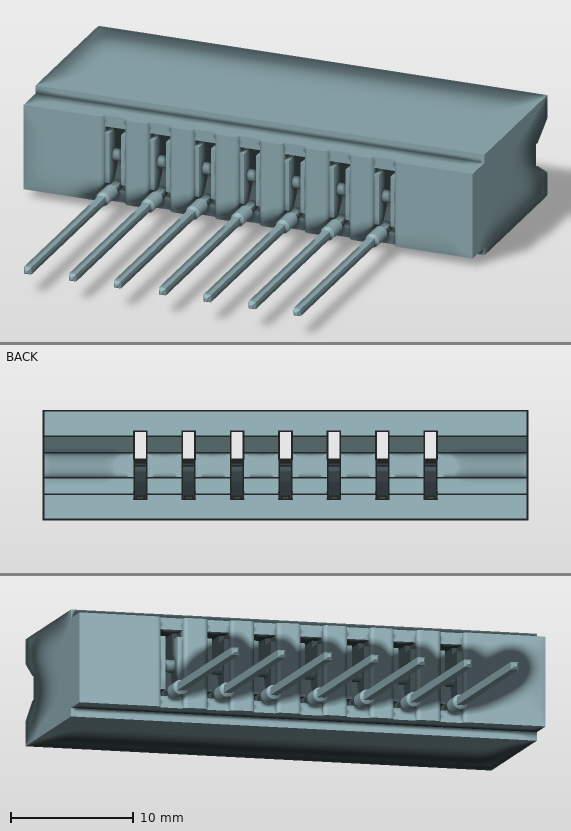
import cadquery as cq
import math


LENGTH = 39.57
HEIGHT = 8.9
DEPTH = 16.35
STEP_LENGTH = 2.6
STEP_DROP = 0.7

NOTCH_DEPTH = 2.45
NOTCH_LEAD = 2.1
NOTCH_MOUTH = 4.75
NOTCH_FLOOR = 2.05

CONTACTS = 7
PITCH = 3.95
RECESS_DEPTH = 0.4
RECESS_WIDTH = 1.85
RECESS_ROUND = 0.4
WINDOW_WIDTH = 1.03
WINDOW_HEIGHT = 5.55
POCKET_HEIGHT = 0.55
POCKET_DEPTH = 1.6

TOTAL_DEPTH = 35.45
WIRE = 0.65
TIP_LENGTH = 0.35
TIP_INSET = 0.2
BARREL_DIAMETER = 1.2
BARREL_START = 0.28
BARREL_LENGTH = 2.25
BARREL_CHAMFER = 0.25
SPRING_WIDTH = WINDOW_WIDTH
SPRING_THICKNESS = 0.2
SPRING_START = 1.45
FOOT_RISE = 1.0
FOOT_ANGLE = math.radians(55)
SLOPE_RISE = 0.7
SLOPE_ANGLE = math.radians(70)
BEND_RADIUS = 0.2
LEG_LENGTH = 0.45
LEG_TILT = math.radians(30)
ROLL_RADIUS = 0.5
ROLL_PAST_TOP = math.radians(45)

WINDOW_BOTTOM = -WINDOW_HEIGHT / 2
NECK_TOP = WINDOW_BOTTOM + POCKET_HEIGHT
WIRE_Z = WINDOW_BOTTOM + POCKET_HEIGHT / 2
CONTACT_XS = [(i - (CONTACTS - 1) / 2) * PITCH for i in range(CONTACTS)]


def make_housing_block():
    """Stepped block with the card notch, as one profile along X."""
    top = HEIGHT / 2
    step_top = top - STEP_DROP
    upper = [
        (0, step_top),
        (STEP_LENGTH, step_top),
        (STEP_LENGTH, top),
        (DEPTH, top),
        (DEPTH, NOTCH_MOUTH / 2),
        (DEPTH - NOTCH_LEAD, NOTCH_FLOOR / 2),
        (DEPTH - NOTCH_DEPTH, NOTCH_FLOOR / 2),
    ]
    lower = [(y, -z) for y, z in reversed(upper)]
    return cq.Workplane("YZ").polyline(upper + lower).close().extrude(LENGTH / 2, both=True)


def make_recess():
    """Vertical groove whose side walls round outward into the rear face."""
    half = RECESS_WIDTH / 2
    mouth = half + RECESS_ROUND
    mid = RECESS_ROUND * (1 - math.sqrt(0.5))
    return (
        cq.Workplane("XY")
        .moveTo(-mouth, 0)
        .threePointArc((-half - mid, mid), (-half, RECESS_DEPTH))
        .lineTo(half, RECESS_DEPTH)
        .threePointArc((half + mid, mid), (mouth, 0))
        .close()
        .extrude(HEIGHT / 2, both=True)
    )


def make_cavity():
    """Groove, through window and the two wide pockets for one contact."""
    window = cq.Workplane("XY").box(WINDOW_WIDTH, DEPTH, WINDOW_HEIGHT, centered=(True, False, True))
    cavity = make_recess().union(window)
    pocket_z = (WINDOW_HEIGHT - POCKET_HEIGHT) / 2
    for z in (pocket_z, -pocket_z):
        pocket = (
            cq.Workplane("XY")
            .box(RECESS_WIDTH, RECESS_DEPTH + POCKET_DEPTH, POCKET_HEIGHT, centered=(True, False, True))
            .translate((0, 0, z))
        )
        cavity = cavity.union(pocket)
    return cavity


def make_housing():
    housing = make_housing_block()
    cavity = make_cavity()
    for x in CONTACT_XS:
        housing = housing.cut(cavity.translate((x, 0, 0)))
    return housing


def polar(center, radius, angle):
    """Point in the YZ plane at a distance and angle from a centre."""
    return (center[0] + radius * math.cos(angle), center[1] + radius * math.sin(angle))


def make_spring():
    """S-shaped strip: slope up from the neck, bend back, then roll back over."""
    bend_outer = BEND_RADIUS + SPRING_THICKNESS
    roll_inner = ROLL_RADIUS - SPRING_THICKNESS

    foot = (SPRING_START, NECK_TOP)
    kink = (foot[0] + FOOT_RISE / math.tan(FOOT_ANGLE), foot[1] + FOOT_RISE)
    slope_end = (kink[0] + SLOPE_RISE / math.tan(SLOPE_ANGLE), kink[1] + SLOPE_RISE)

    bend_start = SLOPE_ANGLE - math.pi / 2
    bend_end = math.pi / 2 + LEG_TILT
    bend_mid = (bend_start + bend_end) / 2
    bend_center = polar(slope_end, BEND_RADIUS, bend_start + math.pi)

    roll_start = LEG_TILT - math.pi / 2
    roll_end = math.pi / 2 - ROLL_PAST_TOP - 2 * math.pi
    roll_mid = (roll_start + roll_end) / 2
    leg_end = polar(polar(bend_center, BEND_RADIUS, bend_end), LEG_LENGTH, math.pi + LEG_TILT)
    roll_center = polar(leg_end, ROLL_RADIUS, bend_end)

    half_kink = (SLOPE_ANGLE - FOOT_ANGLE) / 2
    lower_kink = polar(kink, SPRING_THICKNESS / math.cos(half_kink), bend_start - half_kink)
    lower_foot = (lower_kink[0] - (lower_kink[1] - WINDOW_BOTTOM) / math.tan(FOOT_ANGLE), WINDOW_BOTTOM)

    return (
        cq.Workplane("YZ")
        .polyline([lower_foot, foot, kink, slope_end])
        .threePointArc(polar(bend_center, BEND_RADIUS, bend_mid), polar(bend_center, BEND_RADIUS, bend_end))
        .lineTo(*leg_end)
        .threePointArc(polar(roll_center, ROLL_RADIUS, roll_mid), polar(roll_center, ROLL_RADIUS, roll_end))
        .lineTo(*polar(roll_center, roll_inner, roll_end))
        .threePointArc(polar(roll_center, roll_inner, roll_mid), polar(roll_center, roll_inner, roll_start))
        .lineTo(*polar(bend_center, bend_outer, bend_end))
        .threePointArc(polar(bend_center, bend_outer, bend_mid), polar(bend_center, bend_outer, bend_start))
        .lineTo(*lower_kink)
        .close()
        .extrude(SPRING_WIDTH / 2, both=True)
    )


def make_wire():
    """Straight square wire with a tapered tip."""
    length = TOTAL_DEPTH - DEPTH
    tip_width = WIRE - 2 * TIP_INSET
    wire = cq.Workplane("XZ").rect(WIRE, WIRE).extrude(length - TIP_LENGTH)
    tip = (
        cq.Workplane("XZ", origin=(0, -(length - TIP_LENGTH), 0))
        .rect(WIRE, WIRE)
        .workplane(offset=TIP_LENGTH)
        .rect(tip_width, tip_width)
        .loft(ruled=True)
    )
    return wire.union(tip).translate((0, 0, WIRE_Z))


def make_neck():
    """Flat part that joins the spring inside the housing to the wire behind it."""
    neck_length = SPRING_START + BARREL_START
    return (
        cq.Workplane("XY")
        .box(WIRE, neck_length, POCKET_HEIGHT, centered=(True, False, True))
        .translate((0, -BARREL_START, WIRE_Z))
    )


def make_barrel():
    """Round collar with chamfered ends, just behind the housing."""
    return (
        cq.Workplane("XZ", origin=(0, -BARREL_START, WIRE_Z))
        .circle(BARREL_DIAMETER / 2)
        .extrude(BARREL_LENGTH)
        .edges()
        .chamfer(BARREL_CHAMFER)
    )


def make_contact():
    return make_wire().union(make_barrel()).union(make_neck()).union(make_spring())


housing = make_housing()
contact = make_contact()
contacts = [contact.translate((x, 0, 0)).val() for x in CONTACT_XS]

result = cq.Compound.makeCompound([housing.val(), *contacts])